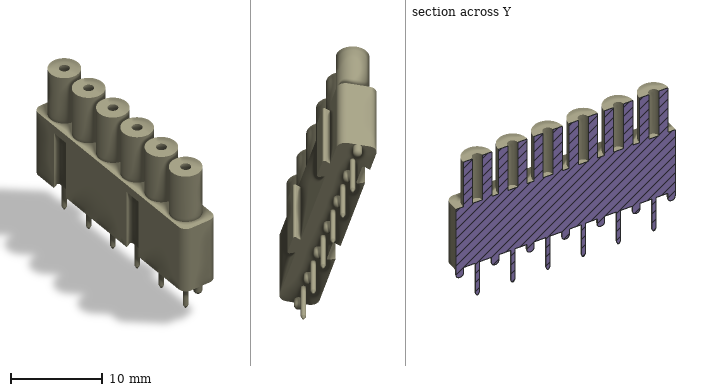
import cadquery as cq

contact_count = 6
peg_row_length = 27.0
pitch = peg_row_length / contact_count
peg_diameter = 1.0
peg_length = 1.2

body_length = peg_row_length + peg_diameter
body_width = 4.5
body_height = 8.5
corner_radius = 1.0

socket_diameter = 3.7
socket_height = 6.2
bore_diameter = 1.2
bore_depth = socket_height
pin_diameter = 0.6
pin_length = 4.5
pin_tip_diameter = 0.188
pin_tip_length = 0.35

dovetail_centers = (-2 * pitch, pitch)
dovetail_top_gap = 1.0
dovetail_height = body_height - dovetail_top_gap
rail_depth = 0.9
rail_neck_width = 2.2
rail_head_width = 3.15
rail_edge_radius = 0.22
groove_depth = 0.95
groove_neck_width = 2.2
groove_floor_width = 3.2
groove_edge_radius = 0.2


def dovetail(center_x, face_y, depth, neck_width, wide_width, edge_radius):
    """Upright dovetail prism widening in +Y from a neck at face_y, with its wide edges rounded."""
    profile = [
        (center_x - neck_width / 2, face_y),
        (center_x + neck_width / 2, face_y),
        (center_x + wide_width / 2, face_y + depth),
        (center_x - wide_width / 2, face_y + depth),
    ]
    prism = cq.Workplane("XY").polyline(profile).close().extrude(dovetail_height)
    return prism.faces(">Y").edges("|Z").fillet(edge_radius)


def socket(x):
    """Cylinder standing on top of the housing."""
    return cq.Workplane("XY", origin=(x, 0, body_height)).circle(socket_diameter / 2).extrude(socket_height)


def socket_bore(x):
    """Blind contact hole, open at the top of the socket."""
    top = body_height + socket_height
    return cq.Workplane("XY", origin=(x, 0, top)).circle(bore_diameter / 2).extrude(-bore_depth)


def solder_pin(x):
    """Round pin below the housing with a short tapered tip."""
    half_profile = [
        (0, 0),
        (pin_diameter / 2, 0),
        (pin_diameter / 2, pin_tip_length - pin_length),
        (pin_tip_diameter / 2, -pin_length),
        (0, -pin_length),
    ]
    pin = cq.Workplane("XZ").polyline(half_profile).close().revolve(360, (0, 0), (0, 1))
    return pin.translate((x, 0, 0))


def locating_peg(x):
    """Peg below the housing ending in a hemisphere."""
    radius = peg_diameter / 2
    shank_length = peg_length - radius
    shank = cq.Workplane("XY", origin=(x, 0, 0)).circle(radius).extrude(-shank_length)
    return shank.union(cq.Workplane("XY", origin=(x, 0, -shank_length)).sphere(radius))


result = (
    cq.Workplane("XY")
    .box(body_length, body_width, body_height, centered=(True, True, False))
    .edges("|Z")
    .fillet(corner_radius)
)

for center in dovetail_centers:
    rail = dovetail(center, body_width / 2, rail_depth, rail_neck_width, rail_head_width, rail_edge_radius)
    groove = dovetail(
        center, -body_width / 2, groove_depth, groove_neck_width, groove_floor_width, groove_edge_radius
    )
    result = result.union(rail).cut(groove)

row_start = -peg_row_length / 2
for index in range(contact_count):
    contact_x = row_start + (index + 0.5) * pitch
    result = result.union(socket(contact_x)).cut(socket_bore(contact_x))
    result = result.union(solder_pin(contact_x))

for index in range(contact_count + 1):
    result = result.union(locating_peg(row_start + index * pitch))